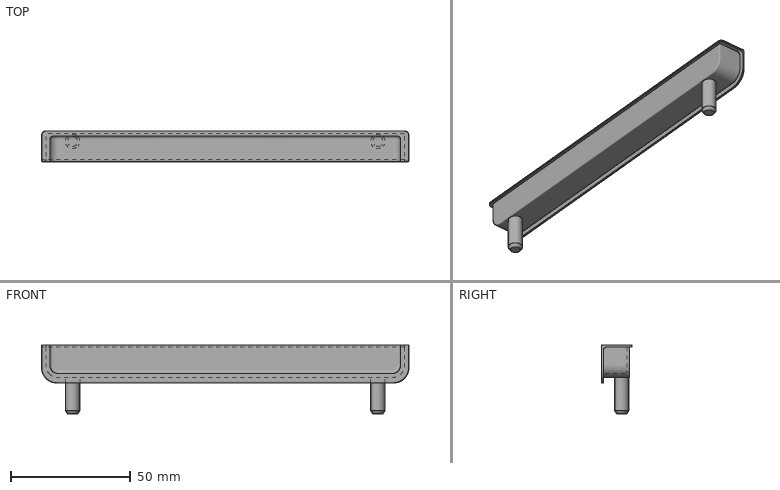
import cadquery as cq

length = 154.0
depth = 13.0
front_height = 16.0
flange_thickness = 1.0
front_corner_radius = 6.5
back_corner_radius = 1.8
bend_radius = 1.0
inner_bend_radius = 1.4
outer_edge_round = 0.5

side_lip = 3.5
bottom_lip = 4.0
back_lip = 2.2
wall = 1.7
back_wall = 1.1
cavity_corner_radius = 3.4
cavity_back_fillet = 1.4
tray_back_round = 0.5
rim_round = 0.5

pin_spacing = 128.0
pin_diameter = 6.0
pin_setback = 0.3
pin_bottom = -29.0
pin_chamfer_height = 1.4
pin_chamfer_width = 1.0

cavity_length = length - 2 * side_lip
cavity_height = front_height - bottom_lip
cavity_depth = depth - back_lip
tray_length = cavity_length + 2 * wall
tray_height = cavity_height + wall
tray_depth = cavity_depth + back_wall
pin_y = tray_depth - pin_setback - pin_diameter / 2


def trough(size_x, size_y, size_z, corner_radius):
    """Block hanging below Z = 0 behind Y = 0, with both lower end corners rounded."""
    block = cq.Workplane("XY").box(size_x, size_y, size_z, centered=(True, False, False))
    return block.translate((0, 0, -size_z)).edges("|Y and <Z").fillet(corner_radius)


def make_flange():
    front_plate = trough(length, flange_thickness, front_height, front_corner_radius)
    top_plate = (
        cq.Workplane("XY")
        .box(length, depth, flange_thickness, centered=(True, False, False))
        .translate((0, 0, -flange_thickness))
        .edges("|Z and >Y")
        .fillet(back_corner_radius)
    )
    angle = front_plate.union(top_plate)
    inner_bend_edge = cq.NearestToPointSelector((0, flange_thickness, -flange_thickness))
    angle = angle.edges(inner_bend_edge).fillet(inner_bend_radius)
    angle = angle.edges("|X and <Y and >Z").fillet(bend_radius)

    outer_edge = cq.NearestToPointSelector((0, 0, -front_height))
    return angle.edges(outer_edge).fillet(outer_edge_round)


def make_tray():
    tray = trough(tray_length, tray_depth, tray_height, cavity_corner_radius + wall)
    return tray.faces(">Y").edges("not >Z").fillet(tray_back_round)


def make_cavity():
    cavity = trough(cavity_length, cavity_depth, cavity_height, cavity_corner_radius)
    return cavity.faces(">Y").edges("not >Z").fillet(cavity_back_fillet)


def make_pin(x):
    pin = cq.Workplane("XY", origin=(x, pin_y, pin_bottom)).circle(pin_diameter / 2)
    pin = pin.extrude(-tray_height - pin_bottom)
    return pin.faces("<Z").chamfer(pin_chamfer_height, pin_chamfer_width)


result = make_flange().union(make_tray()).cut(make_cavity())

opening_rim = cq.NearestToPointSelector((0, 0, -cavity_height))
result = result.edges(opening_rim).fillet(rim_round)

for pin_x in (-pin_spacing / 2, pin_spacing / 2):
    result = result.union(make_pin(pin_x))